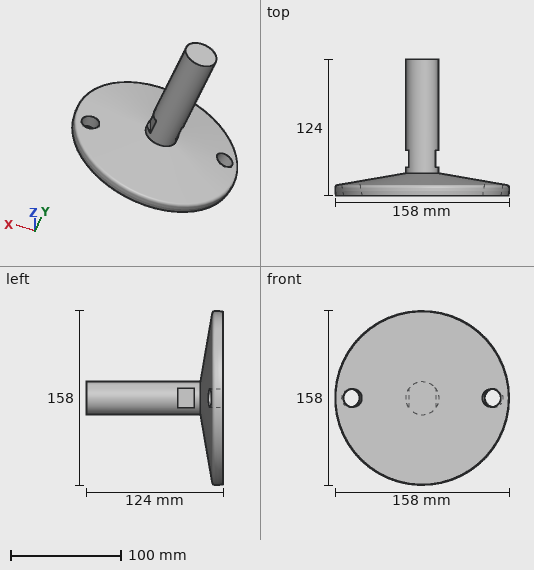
import math

import cadquery as cq

total_length = 124.0

plate_radius = 79.0
base_radius = 78.4
rim_taper_height = 4.3
rim_top = 7.1
rim_round = 3.0
cone_angle = 9.8

stem_radius = 15.0
flat_spacing = 24.5
flat_start = 26.2
flat_length = 15.0

hole_diameter = 16.5
hole_offset = 62.9
hole_reach = 23.7

slope = math.radians(cone_angle)
round_center_x = plate_radius - rim_round


def rim_round_point(angle):
    """Point on the rounded edge, with the angle measured from the stem direction."""
    return (
        round_center_x + rim_round * math.sin(angle),
        rim_top + rim_round * math.cos(angle),
    )


cone_edge = rim_round_point(slope)
round_middle = rim_round_point((slope + math.pi / 2) / 2)
cone_top = cone_edge[1] + (cone_edge[0] - stem_radius) * math.tan(slope)


def make_body():
    """Plate and stem revolved as one profile around Y."""
    return (
        cq.Workplane("XY")
        .lineTo(base_radius, 0)
        .lineTo(plate_radius, rim_taper_height)
        .lineTo(plate_radius, rim_top)
        .threePointArc(round_middle, cone_edge)
        .lineTo(stem_radius, cone_top)
        .lineTo(stem_radius, total_length)
        .lineTo(0, total_length)
        .close()
        .revolve(360, (0, 0, 0), (0, 1, 0))
    )


def make_flat_cutter(side):
    """Block that leaves a wrench flat on the +X or -X side of the stem."""
    return cq.Workplane("XY").box(stem_radius, flat_length, 2 * stem_radius).translate(
        (side * (flat_spacing + stem_radius) / 2, flat_start + flat_length / 2, 0)
    )


def make_hole_cutter(side):
    """Cylinder leaning outwards so that it stands square to the cone."""
    direction = cq.Vector(side * math.sin(slope), math.cos(slope), 0)
    start = cq.Vector(side * hole_offset, 0, 0) - direction * hole_reach
    return cq.Solid.makeCylinder(hole_diameter / 2, 2 * hole_reach, start, direction)


result = make_body()
for side in (-1, 1):
    result = result.cut(make_flat_cutter(side))
    result = result.cut(make_hole_cutter(side))